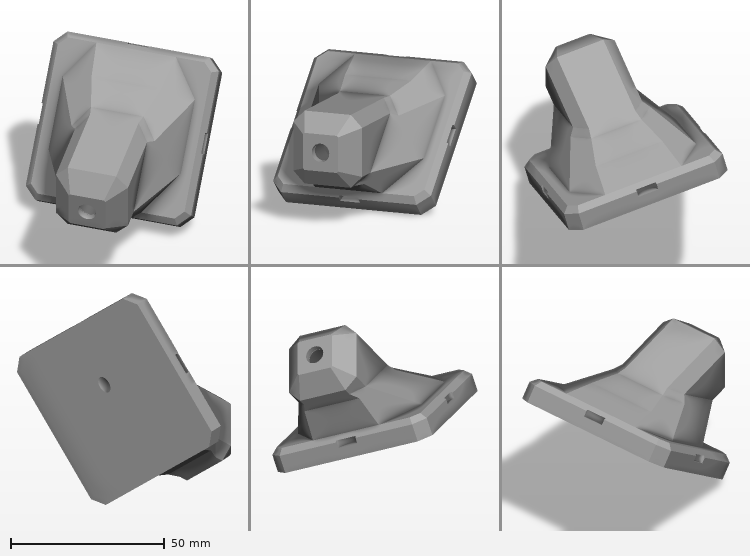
import cadquery as cq
import math

ROOT2 = math.sqrt(2)

TILT = 45.0
BASE_SIDE = 56.02
CORNER_CUT = 4.0
PLATE_THICKNESS = 4.0
RIM_HEIGHT = 6.0
RIM_CHAMFER = 2.0
FACE_HEIGHT = RIM_HEIGHT + RIM_CHAMFER

NOTCH_DIAMETER = 7.0
NOTCH_HEIGHT = 2.5

TOTAL_LENGTH = 67.2
TUBE_WIDTH = 24.42
TUBE_CORNER_CUT = 4.0
TIP_CHAMFER = 6.0
TUBE_AXIS_Z = 4.57
TIP_Y = BASE_SIDE / 2 / ROOT2 - TOTAL_LENGTH
TUBE_HALF = TUBE_WIDTH / 2
TUBE_TOP = TUBE_AXIS_Z + TUBE_HALF
TUBE_BOTTOM = TUBE_AXIS_Z - TUBE_HALF
TUBE_SIDE_TOP = TUBE_TOP - TUBE_CORNER_CUT
TUBE_SIDE_BOTTOM = TUBE_BOTTOM + TUBE_CORNER_CUT

COLLAR_HEIGHT = 19.2
NECK_HEIGHT = 21.7
NECK_FOOT_HALF = 22.4
FOOT_SIDE_TOP = 15.1
FOOT_SIDE_BOTTOM = -2.23
COLLAR_CORNER_SUM = 25.7
RIDGE_HALF = 1.0
FOLD_Y = 0.55
FOLD_Z = 19.82
RAMP_END_Y = -10.05
RAMP_END_Z = 16.9
TOP_START_Y = -10.47
UNDERSIDE_START_Y = -34.52

MOUTH_DIAMETER = 6.2
MOUTH_DEPTH = 2.2
LIP_DIAMETER = 6.1
LIP_DEPTH = 2.5
CHAMBER_DIAMETER = 8.4
CHAMBER_LENGTH = 10.0
THROUGH_DIAMETER = 4.0


def tilt(body):
    return body.rotate((0, 0, 0), (1, 0, 0), TILT)


def base_block(start, height):
    block = cq.Workplane("XY").workplane(offset=start).rect(BASE_SIDE, BASE_SIDE).extrude(height)
    return block.edges("|Z").chamfer(CORNER_CUT)


def axis_cylinder(diameter, length, depth=0.0):
    """Cylinder on the tube axis that starts at this depth behind the tip."""
    front = cq.Workplane("XZ", origin=(0, TIP_Y + depth, TUBE_AXIS_Z))
    return front.circle(diameter / 2).extrude(-length)


def make_rim():
    rim = base_block(PLATE_THICKNESS, FACE_HEIGHT - PLATE_THICKNESS)
    rim = rim.faces(">Z").edges().chamfer(RIM_CHAMFER)
    half = BASE_SIDE / 2
    middles = [(half, 0), (-half, 0), (0, half), (0, -half)]
    notches = cq.Workplane("XY").workplane(offset=PLATE_THICKNESS).pushPoints(middles)
    return tilt(rim.cut(notches.circle(NOTCH_DIAMETER / 2).extrude(NOTCH_HEIGHT)))


def neck_section(height, half_width, side_top, side_bottom):
    """Octagon in the tilted plane at this height; its corner edges rise 1:1 as seen along Y."""
    run = half_width - RIDGE_HALF
    right = [
        (RIDGE_HALF, side_bottom - run),
        (half_width, side_bottom),
        (half_width, side_top),
        (RIDGE_HALF, side_top + run),
    ]
    outline = right + [(-x, z) for x, z in reversed(right)]
    return [cq.Vector(x, z - ROOT2 * height, z) for x, z in outline]


def flat_face(corners):
    return cq.Face.makeFromWires(cq.Wire.makePolygon(corners, close=True))


def flat_sided_solid(start, end):
    """Solid between two sections whose matching edges are parallel, so every side is flat."""
    faces = [flat_face(start), flat_face(end)]
    for i in range(len(start)):
        faces.append(flat_face([start[i - 1], start[i], end[i], end[i - 1]]))
    return cq.Workplane(cq.Solid.makeSolid(cq.Shell.makeShell(faces)))


def make_neck():
    share = (COLLAR_HEIGHT - FACE_HEIGHT) / (NECK_HEIGHT - FACE_HEIGHT)
    collar_half = NECK_FOOT_HALF + share * (TUBE_HALF - NECK_FOOT_HALF)
    collar_bottom = FOOT_SIDE_BOTTOM + share * (TUBE_SIDE_BOTTOM - FOOT_SIDE_BOTTOM)
    foot = neck_section(FACE_HEIGHT, NECK_FOOT_HALF, FOOT_SIDE_TOP, FOOT_SIDE_BOTTOM)
    collar = neck_section(COLLAR_HEIGHT, collar_half, COLLAR_CORNER_SUM - collar_half, collar_bottom)
    end = neck_section(NECK_HEIGHT, TUBE_HALF, TUBE_SIDE_TOP, TUBE_SIDE_BOTTOM)
    flare = flat_sided_solid(foot, collar).union(flat_sided_solid(collar, end))

    edge = BASE_SIDE / 2 - RIM_CHAMFER
    foot_top = ((edge - FACE_HEIGHT) / ROOT2, (edge + FACE_HEIGHT) / ROOT2)
    foot_bottom = ((-edge - FACE_HEIGHT) / ROOT2, (-edge + FACE_HEIGHT) / ROOT2)
    side_outline = [
        foot_top,
        (FOLD_Y, FOLD_Z),
        (RAMP_END_Y, RAMP_END_Z),
        (TOP_START_Y, TUBE_TOP),
        (TUBE_TOP - ROOT2 * NECK_HEIGHT, TUBE_TOP),
        (TUBE_BOTTOM - ROOT2 * NECK_HEIGHT, TUBE_BOTTOM),
        (UNDERSIDE_START_Y, TUBE_BOTTOM),
        foot_bottom,
    ]
    silhouette = cq.Workplane("YZ").polyline(side_outline).close().extrude(BASE_SIDE / 2, both=True)
    return flare.intersect(silhouette)


def make_tube():
    tube = cq.Workplane("XZ", origin=(0, TIP_Y, TUBE_AXIS_Z)).rect(TUBE_WIDTH, TUBE_WIDTH)
    tube = tube.extrude(-TOTAL_LENGTH).edges("|Y").chamfer(TUBE_CORNER_CUT)
    tube = tube.faces("<Y").edges().chamfer(TIP_CHAMFER)
    below_neck_end = cq.Workplane("XY").workplane(offset=NECK_HEIGHT)
    below_neck_end = below_neck_end.rect(2 * TOTAL_LENGTH, 2 * TOTAL_LENGTH).extrude(-TOTAL_LENGTH)
    return tube.cut(tilt(below_neck_end))


through_hole = axis_cylinder(THROUGH_DIAMETER, 2 * TOTAL_LENGTH)

plate = tilt(base_block(0, PLATE_THICKNESS)).cut(through_hole)

housing = make_rim().union(make_neck()).union(make_tube()).clean()
housing = housing.cut(axis_cylinder(MOUTH_DIAMETER, MOUTH_DEPTH))
housing = housing.cut(axis_cylinder(LIP_DIAMETER, LIP_DEPTH))
housing = housing.cut(axis_cylinder(CHAMBER_DIAMETER, CHAMBER_LENGTH, LIP_DEPTH))
housing = housing.cut(through_hole)

result = cq.Compound.makeCompound([plate.val(), housing.val()])